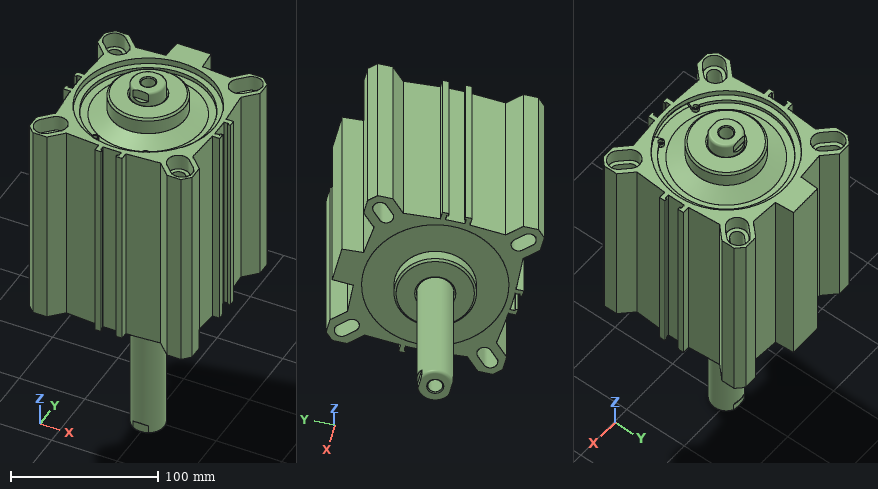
import cadquery as cq
import math


total_length = 297.0
rod_above_housing = 20.2
rod_below_housing = 120.0
housing_height = total_length - rod_above_housing - rod_below_housing
rod_top_z = housing_height + rod_above_housing
rod_bottom_z = -rod_below_housing

housing_half_width = 62.0
lug_bevel = 5.5
lug_shoulder = 45.7
lug_foot = 36.0
wall_at_lug = housing_half_width - (lug_shoulder - lug_foot)
wall_at_middle = 54.4
port_face_y = 69.0
port_face_half_width = 13.0
port_base_half_width = 14.0

rail_outer = 10.5
rail_neck = 6.8
rail_hook = 5.5
rail_top = 59.7
rail_hook_base = 57.5

slot_center = 49.3
slot_spacing = 8.0
slot_width = 10.0
slot_recess_width = 16.0
slot_recess_depth = 12.0

bore_diameter = 100.0
mouth_diameter = 102.2
groove_diameter = 106.3
ring_top_depth = 4.8
cover_face_depth = 7.7
ring_thickness = cover_face_depth - ring_top_depth

ring_inner_diameter = 93.3
ear_radius = 2.7
ear_hole_diameter = 3.5
ear_center_radius = 46.0
ear_angle = 24.6

cover_length = 29.7
boss_diameter = 56.0
boss_height = 10.0
boss_chamfer = 1.5
cone_base_diameter = 82.0
cone_top_depth = 2.5
rod_bore_diameter = 25.5
rod_bore_mouth_diameter = 28.0

rod_diameter = 25.0
rod_end_round = 2.0
flat_offset = 11.0
flat_length = 7.0
thread_mouth_diameter = 11.5
thread_diameter = 10.0
thread_depth = 17.8
drill_point_angle = 118.0


def cylinder(diameter, z_bottom, z_top):
    return cq.Workplane("XY").workplane(offset=z_bottom).circle(diameter / 2).extrude(z_top - z_bottom)


def revolved(profile):
    """Turn a closed profile of (radius, Z) points around the Z axis."""
    return cq.Workplane("XZ").polyline(profile).close().revolve(360, (0, 0), (0, 1))


def housing_body():
    lug_tip = housing_half_width - lug_bevel
    corner = [
        (wall_at_middle, rail_neck),
        (wall_at_lug, lug_foot),
        (housing_half_width, lug_shoulder),
        (housing_half_width, lug_tip),
        (lug_tip, housing_half_width),
        (lug_shoulder, housing_half_width),
        (lug_foot, wall_at_lug),
        (rail_neck, wall_at_middle),
    ]
    outline = []
    for x_sign, y_sign in [(1, 1), (-1, 1), (-1, -1), (1, -1)]:
        mirrored = [(x_sign * x, y_sign * y) for x, y in corner]
        outline += mirrored if x_sign == y_sign else mirrored[::-1]
    return cq.Workplane("XY").polyline(outline).close().extrude(housing_height)


def port_block():
    port_root_y = wall_at_lug
    outline = [
        (-port_base_half_width, port_root_y),
        (port_base_half_width, port_root_y),
        (port_base_half_width, wall_at_middle),
        (port_face_half_width, port_face_y),
        (-port_face_half_width, port_face_y),
        (-port_base_half_width, wall_at_middle),
    ]
    return cq.Workplane("XY").polyline(outline).close().extrude(housing_height)


def rail_pair():
    """Two hooked rails on the -Y wall, with their hooks facing each other."""
    rail = [
        (rail_outer, -wall_at_lug),
        (rail_outer, -rail_top),
        (rail_hook, -rail_top),
        (rail_hook, -rail_hook_base),
        (rail_neck, -rail_hook_base),
        (rail_neck, -wall_at_lug),
    ]
    right_rail = cq.Workplane("XY").polyline(rail).close().extrude(housing_height)
    return right_rail.union(right_rail.mirror("YZ"))


def corner_slots(width, z_bottom):
    """Diagonal slots at the four corners, cut from the housing top down to z_bottom."""
    slots = cq.Workplane("XY")
    for x_sign, y_sign in [(1, 1), (-1, 1), (-1, -1), (1, -1)]:
        slot = (
            cq.Workplane("XY")
            .workplane(offset=z_bottom)
            .center(x_sign * slot_center, y_sign * slot_center)
            .slot2D(slot_spacing + width, width, 45 * x_sign * y_sign)
            .extrude(housing_height - z_bottom)
        )
        slots = slots.add(slot)
    return slots.combine()


def make_housing():
    body = housing_body().union(port_block())
    for wall_angle in [-90, 0, 90]:
        body = body.union(rail_pair().rotate((0, 0, 0), (0, 0, 1), wall_angle))
    body = body.cut(corner_slots(slot_width, 0))
    body = body.cut(corner_slots(slot_recess_width, housing_height - slot_recess_depth))

    groove_bottom_z = housing_height - cover_face_depth
    groove_top_z = housing_height - ring_top_depth
    body = body.cut(cylinder(bore_diameter, 0, housing_height))
    body = body.cut(cylinder(groove_diameter, groove_bottom_z, groove_top_z))
    return body.cut(cylinder(mouth_diameter, groove_top_z, housing_height))


def make_cover(face_profile, z_end):
    """Build a cover whose boss points to +Z past the housing end at z_end.

    face_profile lists the (radius, Z) points from the cover's rim in to the boss.
    """
    boss_radius = boss_diameter / 2
    boss_top_z = z_end + boss_height
    bore_radius = rod_bore_diameter / 2
    mouth_radius = rod_bore_mouth_diameter / 2
    inner_face_z = z_end - cover_length
    profile = [
        (bore_radius, inner_face_z),
        (bore_diameter / 2, inner_face_z),
        *face_profile,
        (boss_radius, boss_top_z - boss_chamfer),
        (boss_radius - boss_chamfer, boss_top_z),
        (mouth_radius, boss_top_z),
        (bore_radius, boss_top_z - (mouth_radius - bore_radius)),
    ]
    return revolved(profile)


def make_top_cover():
    face_z = housing_height - cover_face_depth
    conical_face = [
        (bore_diameter / 2, face_z),
        (cone_base_diameter / 2, face_z),
        (boss_diameter / 2, housing_height - cone_top_depth),
    ]
    return make_cover(conical_face, housing_height)


def make_bottom_cover():
    flat_face = [(bore_diameter / 2, 0), (boss_diameter / 2, 0)]
    return make_cover(flat_face, 0).mirror("XY")


def make_retaining_ring():
    ring_bottom_z = housing_height - cover_face_depth
    ring_top_z = ring_bottom_z + ring_thickness
    ring = cylinder(groove_diameter, ring_bottom_z, ring_top_z)
    ring = ring.cut(cylinder(ring_inner_diameter, ring_bottom_z, ring_top_z))

    gap_half_angle = math.radians(ear_angle) - math.asin(ear_radius / ear_center_radius)
    gap_half_width = groove_diameter * math.tan(gap_half_angle)
    gap = (
        cq.Workplane("XY")
        .workplane(offset=ring_bottom_z)
        .polyline([(0, 0), (-gap_half_width, -groove_diameter), (gap_half_width, -groove_diameter)])
        .close()
        .extrude(ring_thickness)
    )
    ring = ring.cut(gap)

    ear_x = ear_center_radius * math.sin(math.radians(ear_angle))
    ear_y = -ear_center_radius * math.cos(math.radians(ear_angle))
    for side in [-1, 1]:
        ear_center = (side * ear_x, ear_y)
        ring = ring.union(cylinder(2 * ear_radius, ring_bottom_z, ring_top_z).translate((*ear_center, 0)))
        ring = ring.cut(cylinder(ear_hole_diameter, ring_bottom_z, ring_top_z).translate((*ear_center, 0)))
    return ring


def threaded_hole():
    """Tapped hole from the rod top: countersunk mouth, straight bore and drill point."""
    hole_radius = thread_diameter / 2
    mouth_radius = thread_mouth_diameter / 2
    bottom_z = rod_top_z - thread_depth
    tip_z = bottom_z - hole_radius / math.tan(math.radians(drill_point_angle / 2))
    return revolved([
        (0, rod_top_z),
        (mouth_radius, rod_top_z),
        (hole_radius, rod_top_z - (mouth_radius - hole_radius)),
        (hole_radius, bottom_z),
        (0, tip_z),
    ])


def wrench_flats():
    """Cutters for the two flats at the rod top, each running out at 45 degrees."""
    rod_radius = rod_diameter / 2
    flat_end_z = rod_top_z - flat_length
    runout = rod_radius - flat_offset
    cutter = (
        cq.Workplane("YZ")
        .polyline([
            (flat_offset, rod_top_z),
            (flat_offset, flat_end_z),
            (rod_radius, flat_end_z - runout),
            (rod_radius, rod_top_z),
        ])
        .close()
        .extrude(rod_radius, both=True)
    )
    return cutter.union(cutter.mirror("XZ"))


def make_rod():
    rod = cylinder(rod_diameter, rod_bottom_z, rod_top_z).faces("<Z or >Z").fillet(rod_end_round)
    end_cutter = threaded_hole().union(wrench_flats())
    rod_middle_z = (rod_top_z + rod_bottom_z) / 2
    rod = rod.cut(end_cutter)
    return rod.cut(end_cutter.mirror("XY", (0, 0, rod_middle_z)))


housing = make_housing()
top_cover = make_top_cover()
bottom_cover = make_bottom_cover()
retaining_ring = make_retaining_ring()
rod = make_rod()

result = cq.Compound.makeCompound([
    housing.val(),
    top_cover.val(),
    bottom_cover.val(),
    retaining_ring.val(),
    rod.val(),
])